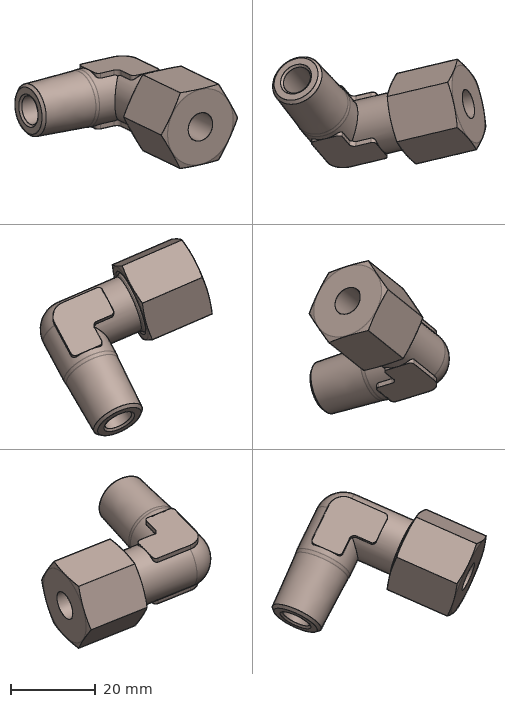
import cadquery as cq
import math

BODY_RADIUS = 7.0
BORE_RADIUS = BODY_RADIUS / 2
LENGTH_X = 39.5
LENGTH_Y = 37.95

NUT_ACROSS_FLATS = 19.0
NUT_LENGTH = 16.5
NUT_FACE_RADIUS = 9.4
NUT_CHAMFER_ANGLE = 15.0
NUT_CORNER_RADIUS = NUT_ACROSS_FLATS / math.sqrt(3)
NUT_END = LENGTH_X - BODY_RADIUS
NUT_START = NUT_END - NUT_LENGTH
NUT_CHAMFER = (NUT_CORNER_RADIUS - NUT_FACE_RADIUS) * math.tan(math.radians(NUT_CHAMFER_ANGLE))

RECESS_MOUTH_RADIUS = 8.15
RECESS_FLOOR_RADIUS = 7.55
RECESS_DEPTH = 0.3
COLLAR_RADIUS = 7.2
COLLAR_START = NUT_START - 0.6
COLLAR_STEP_LENGTH = 0.3

SPIGOT_END = LENGTH_Y - NUT_CORNER_RADIUS
SHOULDER_START = 11.4
TAPER_START = 12.35
TAPER_LARGE_RADIUS = 6.87
TAPER_SMALL_RADIUS = 6.4
SPIGOT_CHAMFER = 0.7
BORE_MOUTH_RADIUS = 8.0 / 2
BORE_CHAMFER = BORE_MOUTH_RADIUS - BORE_RADIUS

PAD_HALF_WIDTH = 4.0
PAD_REACH = 10.0
PAD_CORNER_RADIUS = 1.0
PAD_INNER_RADIUS = 1.22


def revolve_about_x(points):
    """Revolve a closed (x, radius) outline about the X axis."""
    return cq.Workplane("XY").polyline(points).close().revolve(360, (0, 0), (1, 0))


def arm_along_y(points):
    """Revolve a closed (distance, radius) outline about the -Y arm's axis."""
    return revolve_about_x(points).rotate((0, 0, 0), (0, 0, 1), -90)


def make_spigot():
    return arm_along_y([
        (0, 0),
        (0, BODY_RADIUS),
        (SHOULDER_START, BODY_RADIUS),
        (TAPER_START, TAPER_LARGE_RADIUS),
        (SPIGOT_END - SPIGOT_CHAMFER, TAPER_SMALL_RADIUS),
        (SPIGOT_END, TAPER_SMALL_RADIUS - SPIGOT_CHAMFER),
        (SPIGOT_END, 0),
    ])


def make_nut_arm():
    return revolve_about_x([
        (0, 0),
        (0, BODY_RADIUS),
        (COLLAR_START, BODY_RADIUS),
        (COLLAR_START + COLLAR_STEP_LENGTH, COLLAR_RADIUS),
        (NUT_START + RECESS_DEPTH, RECESS_FLOOR_RADIUS),
        (NUT_END, RECESS_FLOOR_RADIUS),
        (NUT_END, 0),
    ])


def make_pads():
    """One L-shaped prism through the elbow; only its top and bottom stand proud."""
    w = PAD_HALF_WIDTH
    pads = (
        cq.Workplane("XY", origin=(0, 0, -BODY_RADIUS))
        .polyline([(-w, w), (PAD_REACH, w), (PAD_REACH, -w), (w, -w), (w, -PAD_REACH), (-w, -PAD_REACH)])
        .close()
        .extrude(2 * BODY_RADIUS)
    )
    rounded_corners = [
        (-w, w, w),
        (w, -w, PAD_INNER_RADIUS),
        (PAD_REACH, w, PAD_CORNER_RADIUS),
        (PAD_REACH, -w, PAD_CORNER_RADIUS),
        (w, -PAD_REACH, PAD_CORNER_RADIUS),
        (-w, -PAD_REACH, PAD_CORNER_RADIUS),
    ]
    for x, y, radius in rounded_corners:
        corner = cq.selectors.NearestToPointSelector((x, y, 0))
        pads = pads.edges("|Z").edges(corner).fillet(radius)
    return pads


def make_nut():
    hexagon = (
        cq.Workplane("YZ", origin=(NUT_START, 0, 0))
        .polygon(6, 2 * NUT_CORNER_RADIUS)
        .extrude(NUT_LENGTH)
    )
    chamfer_envelope = revolve_about_x([
        (NUT_START, 0),
        (NUT_START, NUT_FACE_RADIUS),
        (NUT_START + NUT_CHAMFER, NUT_CORNER_RADIUS),
        (NUT_END - NUT_CHAMFER, NUT_CORNER_RADIUS),
        (NUT_END, NUT_FACE_RADIUS),
        (NUT_END, 0),
    ])
    recess = revolve_about_x([
        (NUT_START, 0),
        (NUT_START, RECESS_MOUTH_RADIUS),
        (NUT_START + RECESS_DEPTH, RECESS_FLOOR_RADIUS),
        (NUT_START + RECESS_DEPTH, 0),
    ])
    return hexagon.intersect(chamfer_envelope).cut(recess)


def make_bore():
    """Two bores joined by a ball at the elbow, with a chamfered spigot mouth."""
    spigot_bore = arm_along_y([
        (0, 0),
        (0, BORE_RADIUS),
        (SPIGOT_END - BORE_CHAMFER, BORE_RADIUS),
        (SPIGOT_END, BORE_MOUTH_RADIUS),
        (SPIGOT_END, 0),
    ])
    nut_bore = cq.Workplane("YZ").circle(BORE_RADIUS).extrude(NUT_END)
    return cq.Workplane("XY").sphere(BORE_RADIUS).union(spigot_bore).union(nut_bore)


elbow = cq.Workplane("XY").sphere(BODY_RADIUS).union(make_spigot()).union(make_nut_arm())
result = elbow.union(make_pads()).union(make_nut()).cut(make_bore())